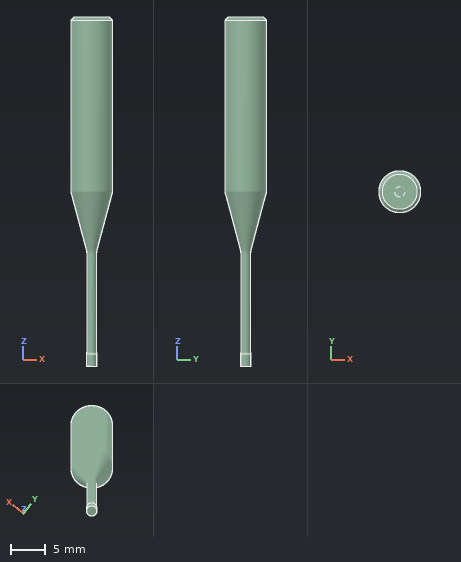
import cadquery as cq
import math

overall_length = 50.0
shank_diameter = 6.0
shank_chamfer = 0.5
shank_bottom_z = 25.0
neck_diameter = 1.4
neck_top_z = 16.0
cone_half_angle = math.radians(15)
cutter_diameter = 1.5
cutter_top_z = 1.8
collar_height = 0.3
end_face_rise = 0.05

shank_radius = shank_diameter / 2
neck_radius = neck_diameter / 2
cutter_radius = cutter_diameter / 2
neck_bottom_z = cutter_top_z + collar_height

cone_neck_z = shank_bottom_z - (shank_radius - neck_radius) / math.tan(cone_half_angle)
fillet_radius = (cone_neck_z - neck_top_z) / math.tan(cone_half_angle / 2)


def fillet_point(angle):
    """Point (radius, z) on the neck fillet, turned by angle from the neck."""
    return (
        neck_radius + fillet_radius * (1 - math.cos(angle)),
        neck_top_z + fillet_radius * math.sin(angle),
    )


def make_holder():
    """Shank, cone, filleted neck and collar, revolved about Z."""
    return (
        cq.Workplane("XZ")
        .moveTo(0, cutter_top_z)
        .lineTo(cutter_radius, cutter_top_z)
        .lineTo(neck_radius, neck_bottom_z)
        .lineTo(neck_radius, neck_top_z)
        .threePointArc(fillet_point(cone_half_angle / 2), fillet_point(cone_half_angle))
        .lineTo(shank_radius, shank_bottom_z)
        .lineTo(shank_radius, overall_length - shank_chamfer)
        .lineTo(shank_radius - shank_chamfer, overall_length)
        .lineTo(0, overall_length)
        .close()
        .revolve(360, (0, 0), (0, 1))
    )


def make_cutter():
    """Round cutting tip with a slightly tilted end face."""
    blank = cq.Workplane("XY").circle(cutter_radius).extrude(cutter_top_z)
    below_end_face = (
        cq.Workplane("XZ")
        .moveTo(-cutter_radius, 0)
        .lineTo(cutter_radius, 0)
        .lineTo(-cutter_radius, end_face_rise)
        .close()
        .extrude(cutter_radius, both=True)
    )
    return blank.cut(below_end_face)


holder = make_holder()
cutter = make_cutter()

result = cq.Compound.makeCompound([holder.val(), cutter.val()])